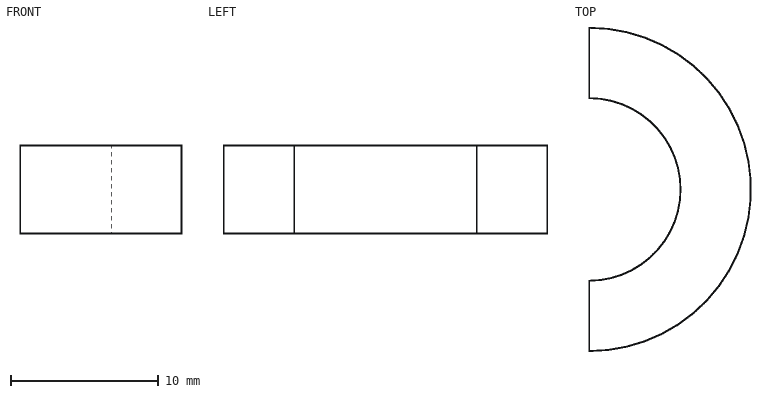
import cadquery as cq

outer_radius = 11.0
inner_radius = 6.2
height = 6.0


def half_ring():
    """Half-annulus outline, cut flat on the YZ plane and extruded upward."""
    return (
        cq.Workplane("XY")
        .moveTo(0, -outer_radius)
        .threePointArc((outer_radius, 0), (0, outer_radius))
        .lineTo(0, inner_radius)
        .threePointArc((inner_radius, 0), (0, -inner_radius))
        .close()
        .extrude(height)
    )


result = half_ring()